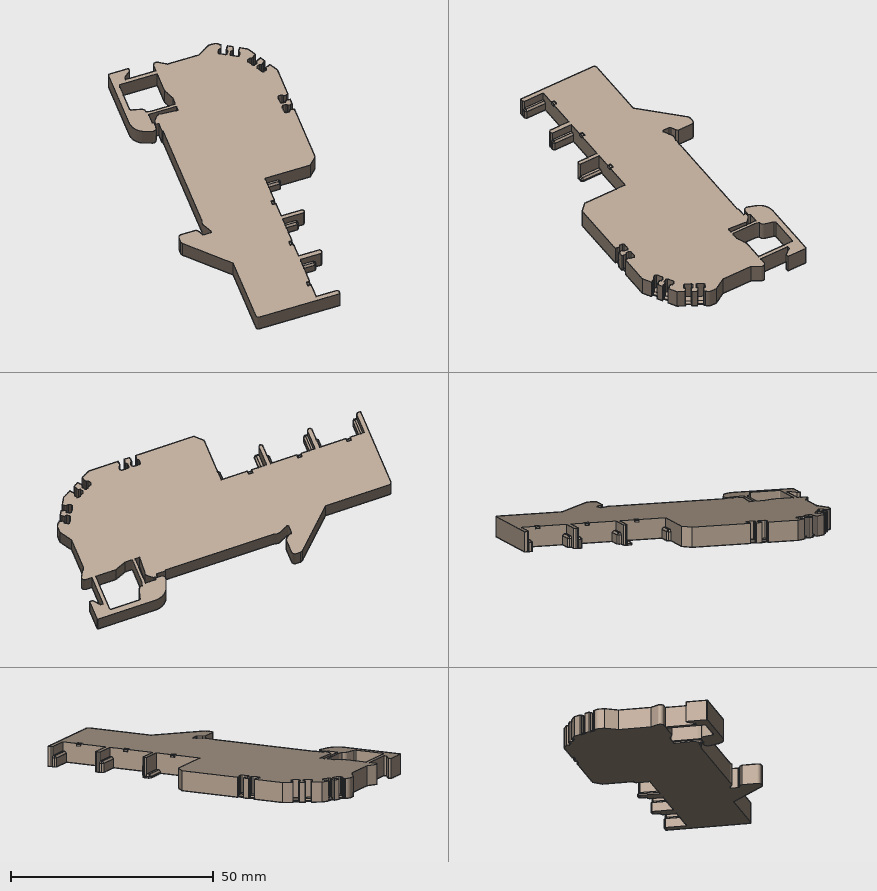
import cadquery as cq
import math

LENGTH = 81.5
HEIGHT = 39.9
THICKNESS = 5.1

BAY_COUNT = 3
BAY_PITCH = 13.0

LEFT_EDGE = 1.95
BAY_WALL_X = LENGTH - BAY_COUNT * BAY_PITCH
BAY_FLOOR_Y = 26.05
RAIL_FACE_Y = 7.1
ARM_UNDERSIDE_Y = 10.05
TOP_CHAMFER = 2.0
ARM_CORNER_RADIUS = 0.7
HOOK_LEFT_X = 51.55
HOOK_TIP_RADIUS = 0.9

FOOT_TOP_Y = 5.4
FOOT_CORNER = 0.2
SPRING_ROOT_Y = 11.5
LEAF_TOP_Y = 12.7
OUTER_LEAF_X = (2.9, 3.9)
INNER_LEAF_X = (14.0, 14.75)
FOOT_FLOOR_Y = 1.5

MARKER_PITCH = 3.05
MARKER_MOUTH_WIDTH = 1.6
MARKER_NECK_WIDTH = 1.4
MARKER_POCKET_WIDTH = 2.3
MARKER_MOUTH_DEPTH = 0.45
MARKER_NECK_DEPTH = 1.2
MARKER_POCKET_DEPTH = 2.65
MARKER_POCKET_CORNER = 0.3
MARKER_FLOOR_Z = 0.6
MARKER_LIP_Z = 0.3
MARKER_PAIRS = [((2.1, 31.3), 60), ((8.6, 37.3), 30), ((22.85, HEIGHT), 0)]

DIVIDER_TOP_Y = 31.9
DIVIDER_CORNER = 0.4
DIVIDER_WIDTH = 1.2
FIRST_DIVIDER_WIDTH = 1.0
LEDGE_REACH = 2.22
LEDGE_Z = 2.8
FIRST_LEDGE_Z = 0.9
LEDGE_BEVEL = 0.5
LEDGE_CORNER = 0.4
SHORT_LEDGE_WIDTH = 1.0
SHORT_LEDGE_LENGTH = 3.9

RECESS_WIDTH = 1.1
RECESS_DEPTH = 0.85
RECESS_SLOPE_LENGTH = 0.3
RECESS_SINK = 0.3
RECESS_OFFSET = 7.5


def body_blank():
    """Body with the spring foot and the rail hook, without markers or dividers."""
    outer_leaf = OUTER_LEAF_X[0]
    slit_x = INNER_LEAF_X[1]
    outline = (
        cq.Workplane("XY")
        .moveTo(FOOT_CORNER, 0)
        .lineTo(0, FOOT_CORNER)
        .lineTo(0, FOOT_TOP_Y)
        .lineTo(0.8, FOOT_TOP_Y)
        .lineTo(2.2, 3.6)
        .lineTo(outer_leaf, 3.6)
        .lineTo(outer_leaf, SPRING_ROOT_Y)
        .lineTo(1.2, SPRING_ROOT_Y)
        .threePointArc((0.55, 12.0), (0.6, 12.75))
        .lineTo(LEFT_EDGE, 14.9)
        .lineTo(LEFT_EDGE, 23.15)
        .lineTo(0, 26.3)
        .lineTo(0, 27.6)
        .threePointArc((0.2, 28.4), (0.75, 29.0))
        .lineTo(4.3, 35.1)
        .lineTo(12.7, HEIGHT)
        .lineTo(BAY_WALL_X - TOP_CHAMFER, HEIGHT)
        .lineTo(BAY_WALL_X, HEIGHT - TOP_CHAMFER)
        .lineTo(BAY_WALL_X, BAY_FLOOR_Y)
        .lineTo(LENGTH, BAY_FLOOR_Y)
        .lineTo(LENGTH, ARM_UNDERSIDE_Y + ARM_CORNER_RADIUS)
        .radiusArc((LENGTH - ARM_CORNER_RADIUS, ARM_UNDERSIDE_Y), ARM_CORNER_RADIUS)
        .lineTo(64.0, ARM_UNDERSIDE_Y)
        .lineTo(54.2, 0.25)
        .lineTo(53.65, 0)
        .lineTo(HOOK_LEFT_X + HOOK_TIP_RADIUS, 0)
        .radiusArc((HOOK_LEFT_X, HOOK_TIP_RADIUS), HOOK_TIP_RADIUS)
        .lineTo(HOOK_LEFT_X, 4.7)
        .lineTo(52.1, 5.3)
        .lineTo(53.3, 5.85)
        .lineTo(53.5, 6.2)
        .lineTo(53.5, 7.8)
        .threePointArc((53.35, 8.1), (53.0, 8.1))
        .lineTo(51.1, 7.15)
        .threePointArc((50.65, 6.95), (50.1, 6.9))
        .lineTo(49.2, RAIL_FACE_Y)
        .lineTo(20.7, RAIL_FACE_Y)
        .lineTo(20.5, 6.85)
        .lineTo(18.15, 6.85)
        .lineTo(18.15, 6.05)
        .lineTo(17.2, 6.15)
        .threePointArc((16.35, 6.75), (15.5, 7.7))
        .lineTo(15.65, 8.2)
        .lineTo(15.95, LEAF_TOP_Y)
        .lineTo(slit_x, LEAF_TOP_Y)
        .lineTo(slit_x, FOOT_TOP_Y)
        .lineTo(17.35, FOOT_TOP_Y)
        .lineTo(17.65, 5.85)
        .lineTo(18.9, 5.85)
        .threePointArc((19.8, 5.35), (19.85, 4.5))
        .lineTo(19.0, 2.2)
        .threePointArc((17.45, 0.55), (15.4, 0))
        .close()
    )
    return outline.extrude(THICKNESS)


def foot_window():
    """Opening through the foot between the two spring leaves."""
    left = OUTER_LEAF_X[1]
    right = INNER_LEAF_X[0]
    corner = 0.3
    return (
        cq.Workplane("XY")
        .moveTo(left, FOOT_FLOOR_Y + corner)
        .lineTo(left, SPRING_ROOT_Y)
        .lineTo(9.25, SPRING_ROOT_Y)
        .lineTo(12.1, LEAF_TOP_Y)
        .lineTo(right - corner, LEAF_TOP_Y)
        .radiusArc((right, LEAF_TOP_Y - corner), corner)
        .lineTo(right, 6.1)
        .lineTo(13.75, 5.05)
        .threePointArc((12.95, 4.75), (12.6, 4.1))
        .lineTo(12.0, FOOT_FLOOR_Y + corner)
        .lineTo(11.7, FOOT_FLOOR_Y)
        .lineTo(left + corner, FOOT_FLOOR_Y)
        .radiusArc((left, FOOT_FLOOR_Y + corner), corner)
        .close()
        .extrude(THICKNESS)
    )


def marker_slot():
    """Cutter for one marker slot, with its edge along X and its depth along -Y."""
    overlap = 0.5
    mouth = (
        cq.Workplane("XY")
        .rect(MARKER_MOUTH_WIDTH, 2 * MARKER_MOUTH_DEPTH)
        .extrude(THICKNESS)
    )
    neck = (
        cq.Workplane("YZ")
        .moveTo(-MARKER_MOUTH_DEPTH, MARKER_LIP_Z)
        .lineTo(-MARKER_NECK_DEPTH, MARKER_FLOOR_Z)
        .lineTo(-MARKER_NECK_DEPTH - overlap, MARKER_FLOOR_Z)
        .lineTo(-MARKER_NECK_DEPTH - overlap, THICKNESS)
        .lineTo(-MARKER_MOUTH_DEPTH, THICKNESS)
        .close()
        .extrude(MARKER_NECK_WIDTH / 2, both=True)
    )
    pocket_length = MARKER_POCKET_DEPTH - MARKER_NECK_DEPTH
    pocket = (
        cq.Workplane("XY")
        .box(MARKER_POCKET_WIDTH, pocket_length, THICKNESS, centered=(True, False, False))
        .edges("|Z")
        .chamfer(MARKER_POCKET_CORNER)
        .translate((0, -MARKER_POCKET_DEPTH, MARKER_FLOOR_Z))
    )
    return mouth.union(neck).union(pocket)


def marker_pair(middle, angle):
    """Two marker slots side by side on an edge that runs at the given angle."""
    slot = marker_slot().rotate((0, 0, 0), (0, 0, 1), angle)
    along_x = math.cos(math.radians(angle)) * MARKER_PITCH / 2
    along_y = math.sin(math.radians(angle)) * MARKER_PITCH / 2
    first = slot.translate((middle[0] - along_x, middle[1] - along_y, 0))
    second = slot.translate((middle[0] + along_x, middle[1] + along_y, 0))
    return first.union(second)


def ledge(inner_x, outer_x, end_y, top_z):
    """Low rib from inner_x to outer_x, with a cut corner and a bevel around its free top edges."""
    width = abs(outer_x - inner_x)
    outer_side, inner_side = (">X", "<X") if outer_x > inner_x else ("<X", ">X")
    rib = (
        cq.Workplane("XY")
        .box(width, end_y - BAY_FLOOR_Y, top_z, centered=False)
        .faces(outer_side)
        .edges(">Y")
        .chamfer(LEDGE_CORNER)
        .faces(">Z")
        .edges(f"not ({inner_side} or <Y)")
        .chamfer(LEDGE_BEVEL)
    )
    return rib.translate((min(inner_x, outer_x), BAY_FLOOR_Y, 0))


def divider(right_x, width, corners):
    """Full-thickness plate whose chosen end corners are cut off."""
    return (
        cq.Workplane("XY")
        .box(width, DIVIDER_TOP_Y - BAY_FLOOR_Y, THICKNESS, centered=False)
        .faces(">Y")
        .edges(corners)
        .chamfer(DIVIDER_CORNER)
        .translate((right_x - width, BAY_FLOOR_Y, 0))
    )


def latch_recess(middle_x):
    """Cutter for a shallow recess whose floor slopes down toward the bay."""
    floor_z = THICKNESS - RECESS_SINK
    slope_end_y = BAY_FLOOR_Y - RECESS_SLOPE_LENGTH
    return (
        cq.Workplane("YZ", origin=(middle_x, 0, 0))
        .moveTo(BAY_FLOOR_Y, floor_z - RECESS_SLOPE_LENGTH)
        .lineTo(slope_end_y, floor_z)
        .lineTo(BAY_FLOOR_Y - RECESS_DEPTH, floor_z)
        .lineTo(BAY_FLOOR_Y - RECESS_DEPTH, THICKNESS)
        .lineTo(BAY_FLOOR_Y, THICKNESS)
        .close()
        .extrude(RECESS_WIDTH / 2, both=True)
    )


def add_bay(part, index):
    """Add the ledges, the divider and the latch recess of one bay."""
    is_first = index == 0
    is_last = index == BAY_COUNT - 1
    left_x = BAY_WALL_X + index * BAY_PITCH
    right_x = left_x + BAY_PITCH
    width = FIRST_DIVIDER_WIDTH if is_first else DIVIDER_WIDTH
    ledge_z = FIRST_LEDGE_Z if is_first else LEDGE_Z
    corners = "<X" if is_last else "<X or >X"

    part = part.union(divider(right_x, width, corners))
    part = part.union(ledge(right_x - width, right_x - LEDGE_REACH, DIVIDER_TOP_Y, ledge_z))
    short_end_y = BAY_FLOOR_Y + SHORT_LEDGE_LENGTH
    part = part.union(ledge(left_x, left_x + SHORT_LEDGE_WIDTH, short_end_y, LEDGE_Z))
    return part.cut(latch_recess(left_x + RECESS_OFFSET))


result = body_blank().cut(foot_window())
for pair_middle, pair_angle in MARKER_PAIRS:
    result = result.cut(marker_pair(pair_middle, pair_angle))
for bay in range(BAY_COUNT):
    result = add_bay(result, bay)